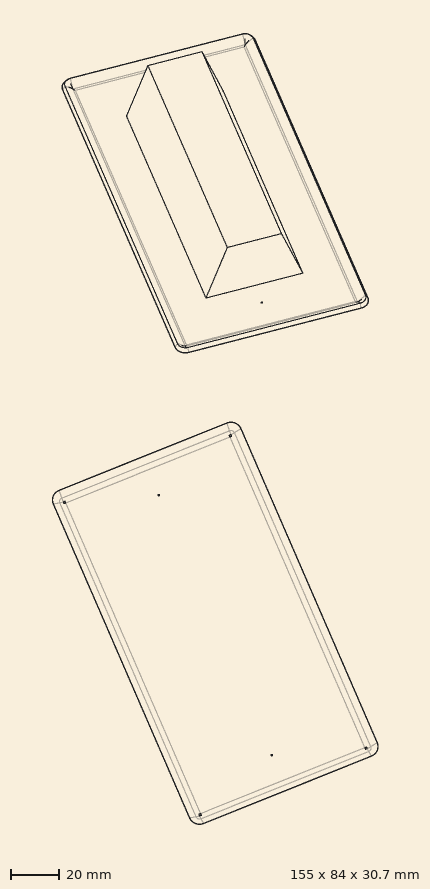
import cadquery as cq
import math

length = 155.0
width = 84.0
total_height = 30.7

floor_thickness = 1.7
corner_radius = 4.5
floor_inset = 5.3
rim_edge_height = 3.1
rim_top_height = 5.1
rim_top_inset = 1.1
inner_bend_height = 2.0
outer_bend_radius = 3.9
outer_bend_angle = 37.0

pinhole_diameter = 0.5
pinhole_spacing = 120.9

block_length = 103.2
block_center_x = -0.8
block_base_width = 42.2
block_top_width = 23.5

corner_center_x = length / 2 - corner_radius
corner_center_y = width / 2 - corner_radius
floor_edge = corner_radius - floor_inset


def outer_bend_point(angle):
    """Point on the underside bend, turned by an angle (radians) from the flat floor."""
    return (
        floor_edge + outer_bend_radius * math.sin(angle),
        outer_bend_radius * (1 - math.cos(angle)),
    )


bend_end_angle = math.radians(outer_bend_angle)
corner_axis_angle = math.asin(-floor_edge / outer_bend_radius)


def close_rim(outline, start_angle):
    """Finish a rim section from the underside bend round to the inner wall at the corner centre."""
    return (
        outline
        .threePointArc(
            outer_bend_point((start_angle + bend_end_angle) / 2),
            outer_bend_point(bend_end_angle),
        )
        .lineTo(corner_radius, rim_edge_height)
        .lineTo(corner_radius - rim_top_inset, rim_top_height)
        .lineTo(0, inner_bend_height)
    )


def rim_side(plane, side_length):
    """Straight side of the rim, including its bend into the floor."""
    run = -floor_edge
    rise = inner_bend_height - floor_thickness
    inner_bend_radius = (run**2 + rise**2) / (2 * rise)
    middle_x = floor_edge + run / 2
    middle_z = floor_thickness + inner_bend_radius - math.sqrt(inner_bend_radius**2 - (run / 2) ** 2)
    outline = cq.Workplane(plane).moveTo(*outer_bend_point(0))
    return (
        close_rim(outline, 0)
        .threePointArc((middle_x, middle_z), (floor_edge, floor_thickness))
        .close()
        .extrude(-side_length)
    )


def rim_corner(plane):
    """Rounded rim corner: the rim section turned a quarter about the corner centre."""
    outline = cq.Workplane(plane).moveTo(*outer_bend_point(corner_axis_angle))
    return close_rim(outline, corner_axis_angle).close().revolve(90, (0, 0), (0, -1))


def make_tray():
    tray = cq.Workplane("XY").box(
        length - 2 * floor_inset,
        width - 2 * floor_inset,
        floor_thickness,
        centered=(True, True, False),
    )
    sides = [
        (corner_center_x, -corner_center_y, (1, 0), 2 * corner_center_y),
        (corner_center_x, corner_center_y, (0, 1), 2 * corner_center_x),
        (-corner_center_x, corner_center_y, (-1, 0), 2 * corner_center_y),
        (-corner_center_x, -corner_center_y, (0, -1), 2 * corner_center_x),
    ]
    for start_x, start_y, (out_x, out_y), side_length in sides:
        plane = cq.Plane((start_x, start_y, 0), xDir=(out_x, out_y, 0), normal=(out_y, -out_x, 0))
        tray = tray.union(rim_side(plane, side_length))
        tray = tray.union(rim_corner(plane))
    pinholes = (
        cq.Workplane("XY")
        .rarray(pinhole_spacing, 1.5, 2, 1)
        .circle(pinhole_diameter / 2)
        .extrude(floor_thickness)
    )
    return tray.cut(pinholes)


def make_block():
    return (
        cq.Workplane("YZ", origin=(block_center_x, 0, 0))
        .moveTo(-block_base_width / 2, floor_thickness)
        .lineTo(block_base_width / 2, floor_thickness)
        .lineTo(block_top_width / 2, total_height)
        .lineTo(-block_top_width / 2, total_height)
        .close()
        .extrude(block_length / 2, both=True)
    )


tray = make_tray()
block = make_block()
result = cq.Compound.makeCompound([tray.val(), block.val()])